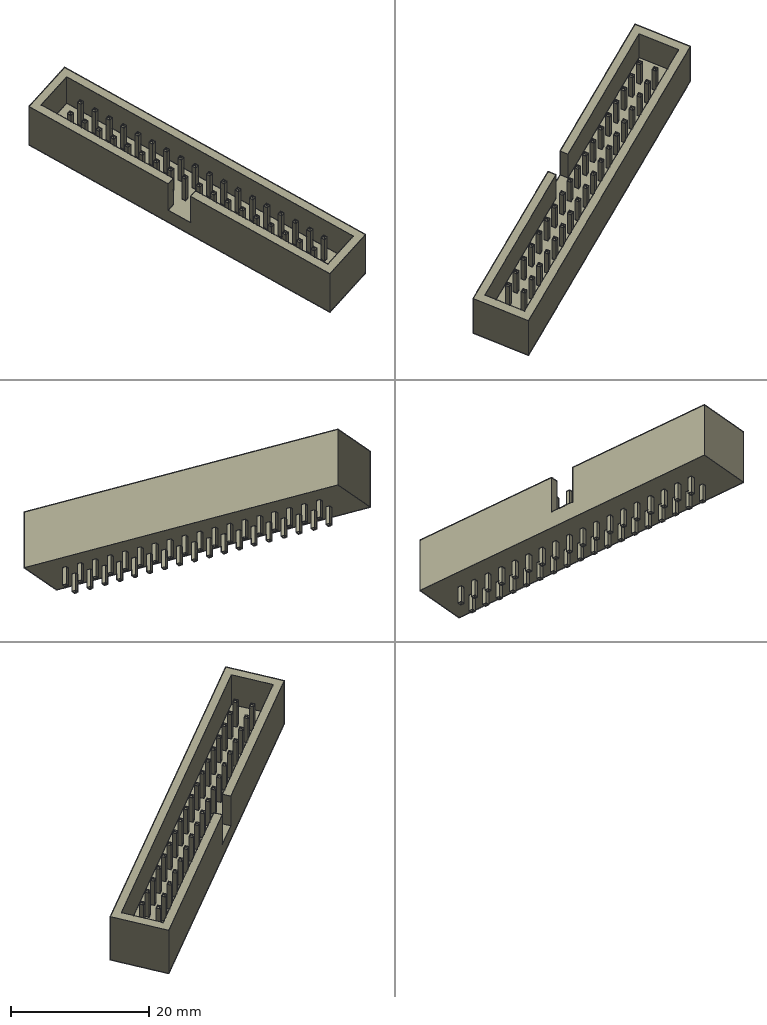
import cadquery as cq

housing_length = 53.35
housing_width = 8.9
housing_height = 8.9
wall_thickness = 1.3
floor_thickness = 2.85

slot_width = 3.95

pins_per_row = 18
row_count = 2
row_length = 43.15
pin_pitch = row_length / (pins_per_row - 1)
pin_side = 0.65
pin_tail = 3.0
pin_recess = 0.9
tip_chamfer = 0.205

inner_depth = housing_height - floor_thickness
pin_length = housing_height - pin_recess + pin_tail


def make_housing():
    box = cq.Workplane("XY").box(
        housing_length, housing_width, housing_height, centered=(True, True, False)
    )
    cavity = (
        cq.Workplane("XY")
        .workplane(offset=floor_thickness)
        .rect(housing_length - 2 * wall_thickness, housing_width - 2 * wall_thickness)
        .extrude(inner_depth)
    )
    slot = (
        cq.Workplane("XY")
        .workplane(offset=floor_thickness)
        .center(0, (wall_thickness - housing_width) / 2)
        .rect(slot_width, wall_thickness)
        .extrude(inner_depth)
    )
    return box.cut(cavity).cut(slot)


def make_pins():
    """Pins through the floor, tapered at both ends."""
    return (
        cq.Workplane("XY")
        .workplane(offset=-pin_tail)
        .rarray(pin_pitch, pin_pitch, pins_per_row, row_count)
        .rect(pin_side, pin_side)
        .extrude(pin_length)
        .faces("<Z or >Z")
        .chamfer(tip_chamfer)
    )


result = make_housing().union(make_pins())